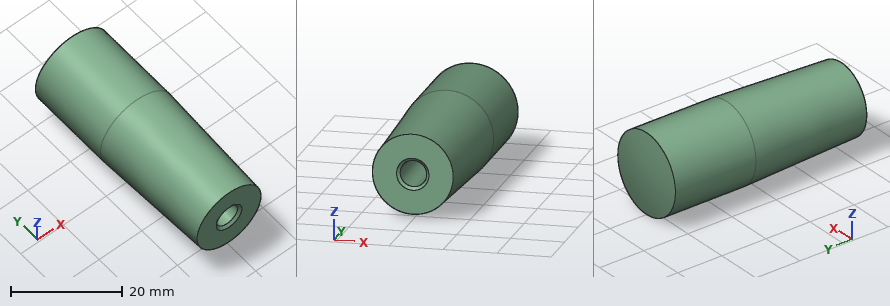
import cadquery as cq
import math

length = 45.0
grip_diameter = 17.0
front_diameter = 15.0
taper_length = 25.9
dome_height = 0.8

hole_diameter = 4.9
hole_mouth_diameter = 6.0
hole_depth = 15.0
drill_point_angle = 118.0

grip_radius = grip_diameter / 2
front_radius = front_diameter / 2
hole_radius = hole_diameter / 2
mouth_radius = hole_mouth_diameter / 2
front_y = -length / 2
back_y = length / 2


def make_body():
    """Tapered front, cylindrical grip and shallow domed back, revolved about Y."""
    taper_end_y = front_y + taper_length
    dome_edge_y = back_y - dome_height
    dome_radius = (grip_radius**2 + dome_height**2) / (2 * dome_height)
    dome_middle_x = grip_radius / 2
    dome_middle_y = back_y - dome_radius + math.sqrt(dome_radius**2 - dome_middle_x**2)
    profile = (
        cq.Workplane("XY")
        .moveTo(0, front_y)
        .lineTo(front_radius, front_y)
        .lineTo(grip_radius, taper_end_y)
        .lineTo(grip_radius, dome_edge_y)
        .threePointArc((dome_middle_x, dome_middle_y), (0, back_y))
        .close()
    )
    return profile.revolve(360, (0, 0, 0), (0, 1, 0))


def make_hole():
    """Drilled hole with a 45 degree mouth chamfer and a conical bottom."""
    chamfer = mouth_radius - hole_radius
    point_length = hole_radius / math.tan(math.radians(drill_point_angle / 2))
    bottom_y = front_y + hole_depth
    profile = (
        cq.Workplane("XY")
        .moveTo(0, front_y)
        .lineTo(mouth_radius, front_y)
        .lineTo(hole_radius, front_y + chamfer)
        .lineTo(hole_radius, bottom_y)
        .lineTo(0, bottom_y + point_length)
        .close()
    )
    return profile.revolve(360, (0, 0, 0), (0, 1, 0))


result = make_body().cut(make_hole())